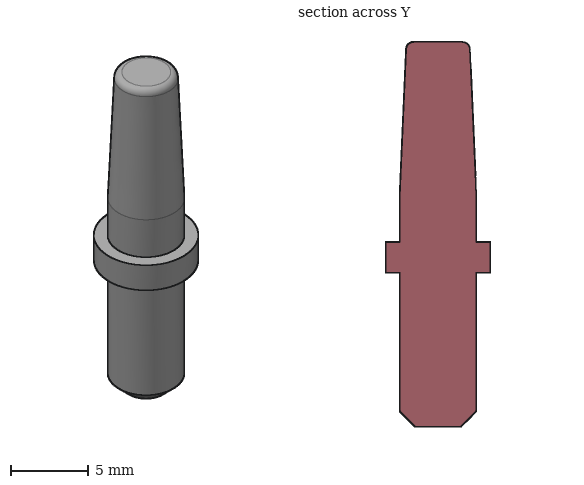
import cadquery as cq
import math

pin_diameter = 5.0
flange_diameter = 6.8
total_height = 25.0
flange_bottom = 10.0
flange_thickness = 2.0
taper_start = 15.0
taper_angle = 2.5
foot_chamfer = 1.0
tip_fillet = 0.5

pin_radius = pin_diameter / 2
flange_radius = flange_diameter / 2
taper_length = total_height - taper_start
tip_radius = pin_radius - taper_length * math.tan(math.radians(taper_angle))


def make_shank():
    """Straight pin with a chamfered foot."""
    shank = cq.Workplane("XY").circle(pin_radius).extrude(taper_start)
    return shank.faces("<Z").edges().chamfer(foot_chamfer)


def make_flange():
    """Collar around the shank."""
    return (
        cq.Workplane("XY", origin=(0, 0, flange_bottom))
        .circle(flange_radius)
        .extrude(flange_thickness)
    )


def make_taper():
    """Conical upper end with a rounded top edge."""
    half_outline = [
        (0, taper_start),
        (pin_radius, taper_start),
        (tip_radius, total_height),
        (0, total_height),
    ]
    cone = cq.Workplane("XZ").polyline(half_outline).close().revolve(360, (0, 0), (0, 1))
    return cone.faces(">Z").edges().fillet(tip_fillet)


result = make_shank().union(make_flange()).union(make_taper())